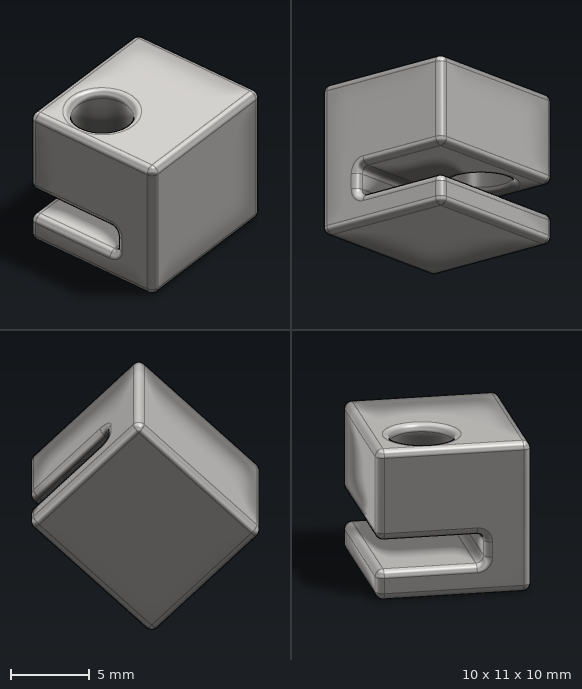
import cadquery as cq

width = 10.0
depth = 11.0
height = 10.0
edge_radius = 0.5

slot_floor = 2.0
slot_height = 2.0
slot_length = 7.0
slot_roof = slot_floor + slot_height

hole_radius = 4.0 / 2
hole_x = 3.5
hole_y = 3.0


def slotted_block():
    """Block with a side slot, every edge rounded."""
    block = cq.Workplane("XY").box(width, depth, height, centered=False)
    slot = (
        cq.Workplane("XY")
        .box(slot_length, depth, slot_height, centered=False)
        .edges("|Y and >X")
        .fillet(edge_radius)
        .translate((0, 0, slot_floor))
    )
    slotted = block.cut(slot)
    sharp_edges = slotted.faces("<X or >X or <Y or >Y or <Z or >Z").edges()
    return sharp_edges.fillet(edge_radius)


def flared_hole():
    """Solid of revolution for the hole, with a rounded mouth at each end."""
    flare_radius = hole_radius + edge_radius
    arc_offset = edge_radius * (1 - 0.5**0.5)
    profile = (
        cq.Workplane("XZ")
        .moveTo(0, slot_roof)
        .lineTo(flare_radius, slot_roof)
        .threePointArc(
            (hole_radius + arc_offset, slot_roof + arc_offset),
            (hole_radius, slot_roof + edge_radius),
        )
        .lineTo(hole_radius, height - edge_radius)
        .threePointArc(
            (hole_radius + arc_offset, height - arc_offset),
            (flare_radius, height),
        )
        .lineTo(0, height)
        .close()
    )
    return profile.revolve(360, (0, 0), (0, 1)).translate((hole_x, hole_y, 0))


part = slotted_block().cut(flared_hole())
result = part.translate((-width / 2, -depth / 2, -height / 2))